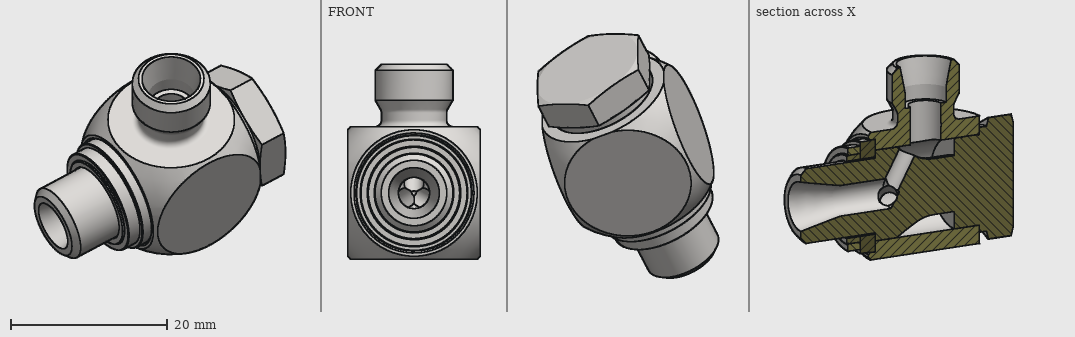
import cadquery as cq
import math


block_width = 17.0
half_width = block_width / 2
head_face_y = 8.0
port_face_y = -half_width
ball_diameter = 23.5
main_bore_diameter = 12.0
recess_depth = 1.0
recess_chamfer = 0.25
recess_floor_y = port_face_y + recess_depth

stub_top_z = 16.5
thread_diameter = 10.0
neck_diameter = 8.4
rim_chamfer = (thread_diameter - neck_diameter) / 2
stub_thread_bottom_z = 11.9
stub_undercut_angle = 30.0
neck_fillet = 0.8
pipe_seat_mouth_diameter = 7.5
pipe_seat_floor_diameter = 6.0
pipe_seat_depth = 5.5
pipe_seat_floor_z = stub_top_z - pipe_seat_depth
outlet_bore_diameter = 4.5
cone_half_angle = 12.0

edge_break = 0.1
ring_bore_diameter = 10.2
support_ring_diameter = 14.9
support_ring_end_y = -9.75
carrier_ring_diameter = 13.8
carrier_ring_end_y = -11.55
carrier_mouth_chamfer = 0.15
seal_ring_diameter = 11.7
seal_ring_end_y = -11.75

hex_width = 14.0
hex_height = 4.0
hex_chamfer_angle = 15.0
collar_height = 1.0
collar_diameter = hex_width
hex_bottom_y = head_face_y + collar_height
hex_top_y = hex_bottom_y + hex_height
bolt_tip_y = -18.5
groove_diameter = 7.5
groove_head_end_y = 4.2
groove_arc_start_y = 1.2
groove_arc_radius = 5.6
groove_cone_angle = 30.0
bolt_bore_diameter = 4.0
bolt_bore_mouth_diameter = 6.5
drill_tip_y = -3.95
drill_tip_half_angle = 59.0
cross_hole_diameter = 2.5
cross_hole_count = 3
cross_hole_edge_margin = 0.05


def sin(degrees):
    return math.sin(math.radians(degrees))


def cos(degrees):
    return math.cos(math.radians(degrees))


def tan(degrees):
    return math.tan(math.radians(degrees))


def turn_y(points):
    """Solid of revolution about Y from an outline of (radius, y) points."""
    return cq.Workplane("XY").polyline(points).close().revolve(360, (0, 0), (0, 1))


def turn_z(points):
    """Solid of revolution about Z from an outline of (radius, z) points."""
    return cq.Workplane("XZ").polyline(points).close().revolve(360, (0, 0), (0, 1))


def outlet_stub():
    """Threaded stub with an undercut neck that blends into the housing top."""
    thread_radius = thread_diameter / 2
    neck_radius = neck_diameter / 2
    undercut_z = stub_thread_bottom_z - (thread_radius - neck_radius) / tan(stub_undercut_angle)
    tangent = neck_fillet * tan(stub_undercut_angle / 2)
    cone_end = (
        neck_radius + tangent * sin(stub_undercut_angle),
        undercut_z + tangent * cos(stub_undercut_angle),
    )
    return (
        cq.Workplane("XZ")
        .moveTo(0, stub_top_z)
        .lineTo(neck_radius, stub_top_z)
        .lineTo(thread_radius, stub_top_z - rim_chamfer)
        .lineTo(thread_radius, stub_thread_bottom_z)
        .lineTo(*cone_end)
        .tangentArcPoint((neck_radius, undercut_z - tangent), relative=False)
        .lineTo(neck_radius, half_width + neck_fillet)
        .tangentArcPoint((neck_radius + neck_fillet, half_width), relative=False)
        .lineTo(neck_radius + neck_fillet, main_bore_diameter / 2)
        .lineTo(0, main_bore_diameter / 2)
        .close()
        .revolve(360, (0, 0), (0, 1))
    )


def outlet_passage():
    """Conical pipe seat and the bore below it, down to the main bore."""
    mouth_radius = pipe_seat_mouth_diameter / 2
    floor_radius = pipe_seat_floor_diameter / 2
    bore_radius = outlet_bore_diameter / 2
    cone_depth = (mouth_radius - floor_radius) / tan(cone_half_angle)
    return turn_z([
        (0, stub_top_z),
        (mouth_radius, stub_top_z),
        (floor_radius, stub_top_z - cone_depth),
        (floor_radius, pipe_seat_floor_z),
        (bore_radius, pipe_seat_floor_z),
        (bore_radius, 0),
        (0, 0),
    ])


def main_passage():
    """Bolt bore with the chamfered recess for the support ring."""
    bore_radius = main_bore_diameter / 2
    recess_radius = support_ring_diameter / 2
    return turn_y([
        (0, head_face_y),
        (bore_radius, head_face_y),
        (bore_radius, recess_floor_y),
        (recess_radius, recess_floor_y),
        (recess_radius, port_face_y + recess_chamfer),
        (recess_radius + recess_chamfer, port_face_y),
        (0, port_face_y),
    ])


def make_housing():
    block = (
        cq.Workplane("XY")
        .box(block_width, head_face_y - port_face_y, block_width)
        .translate((0, (head_face_y + port_face_y) / 2, 0))
    )
    ball = cq.Workplane("XY").sphere(ball_diameter / 2)
    return block.intersect(ball).union(outlet_stub()).cut(outlet_passage()).cut(main_passage())


def make_support_ring():
    outer_radius = support_ring_diameter / 2
    inner_radius = ring_bore_diameter / 2
    return turn_y([
        (inner_radius, recess_floor_y),
        (outer_radius, recess_floor_y),
        (outer_radius, support_ring_end_y + edge_break),
        (outer_radius - edge_break, support_ring_end_y),
        (inner_radius, support_ring_end_y),
    ])


def make_carrier_ring():
    outer_radius = carrier_ring_diameter / 2
    inner_radius = seal_ring_diameter / 2
    return turn_y([
        (inner_radius, support_ring_end_y),
        (outer_radius, support_ring_end_y),
        (outer_radius, carrier_ring_end_y + edge_break),
        (outer_radius - edge_break, carrier_ring_end_y),
        (inner_radius + carrier_mouth_chamfer, carrier_ring_end_y),
        (inner_radius, carrier_ring_end_y + carrier_mouth_chamfer),
    ])


def make_seal_ring():
    outer_radius = seal_ring_diameter / 2
    inner_radius = ring_bore_diameter / 2
    return turn_y([
        (inner_radius, support_ring_end_y),
        (outer_radius, support_ring_end_y),
        (outer_radius, seal_ring_end_y),
        (inner_radius, seal_ring_end_y),
    ])


def hex_head():
    """Hexagon with corners at +Z and -Z, both ends trimmed by a shallow cone."""
    corner_radius = hex_width / 2 / cos(30)
    flat_radius = hex_width / 2
    corner_drop = (corner_radius - flat_radius) * tan(hex_chamfer_angle)
    prism = (
        cq.Workplane("XZ", origin=(0, hex_top_y, 0))
        .polygon(6, 2 * corner_radius)
        .extrude(hex_height)
        .rotate((0, 0, 0), (0, 1, 0), 90)
    )
    envelope = turn_y([
        (0, hex_top_y),
        (flat_radius, hex_top_y),
        (corner_radius, hex_top_y - corner_drop),
        (corner_radius, hex_bottom_y + corner_drop),
        (flat_radius, hex_bottom_y),
        (0, hex_bottom_y),
    ])
    return prism.intersect(envelope)


groove_arc_end_radius = groove_diameter / 2 + groove_arc_radius * (1 - cos(groove_cone_angle))
groove_arc_end_y = groove_arc_start_y - groove_arc_radius * sin(groove_cone_angle)


def bolt_shank():
    """Collar, two guide lands with the flow groove between them, and the thread."""
    collar_radius = collar_diameter / 2
    land_radius = main_bore_diameter / 2
    groove_radius = groove_diameter / 2
    thread_radius = thread_diameter / 2
    cone_end_y = groove_arc_end_y - (land_radius - groove_arc_end_radius) / tan(groove_cone_angle)
    return (
        cq.Workplane("XY")
        .moveTo(0, hex_bottom_y)
        .lineTo(collar_radius, hex_bottom_y)
        .lineTo(collar_radius, head_face_y + edge_break)
        .lineTo(collar_radius - edge_break, head_face_y)
        .lineTo(land_radius, head_face_y)
        .lineTo(land_radius, groove_head_end_y)
        .lineTo(groove_radius, groove_head_end_y)
        .lineTo(groove_radius, groove_arc_start_y)
        .tangentArcPoint((groove_arc_end_radius, groove_arc_end_y), relative=False)
        .lineTo(land_radius, cone_end_y)
        .lineTo(land_radius, recess_floor_y)
        .lineTo(thread_radius, recess_floor_y)
        .lineTo(thread_radius, bolt_tip_y + rim_chamfer)
        .lineTo(thread_radius - rim_chamfer, bolt_tip_y)
        .lineTo(0, bolt_tip_y)
        .close()
        .revolve(360, (0, 0), (0, 1))
    )


def bolt_bore():
    """Blind bore with a conical mouth and a drill-point end."""
    mouth_radius = bolt_bore_mouth_diameter / 2
    bore_radius = bolt_bore_diameter / 2
    cone_depth = (mouth_radius - bore_radius) / tan(cone_half_angle)
    return turn_y([
        (0, bolt_tip_y),
        (mouth_radius, bolt_tip_y),
        (bore_radius, bolt_tip_y + cone_depth),
        (bore_radius, drill_tip_y - bore_radius / tan(drill_tip_half_angle)),
        (0, drill_tip_y),
    ])


def cross_holes():
    """Slanted holes, square to the groove cone, that lead into the blind bore."""
    center_distance = cross_hole_diameter / 2 + cross_hole_edge_margin
    entry_radius = groove_arc_end_radius + center_distance * sin(groove_cone_angle)
    entry_y = groove_arc_end_y - center_distance * cos(groove_cone_angle)
    length_to_axis = entry_radius / cos(groove_cone_angle)
    axis_y = entry_y - entry_radius * tan(groove_cone_angle)
    hole = cq.Workplane(cq.Solid.makeCylinder(
        cross_hole_diameter / 2,
        length_to_axis + cross_hole_diameter,
        cq.Vector(0, axis_y, 0),
        cq.Vector(0, sin(groove_cone_angle), cos(groove_cone_angle)),
    ))
    spacing = 360 / cross_hole_count
    return [hole.rotate((0, 0, 0), (0, 1, 0), i * spacing) for i in range(cross_hole_count)]


def make_bolt():
    bolt = bolt_shank().union(hex_head()).cut(bolt_bore())
    for hole in cross_holes():
        bolt = bolt.cut(hole)
    return bolt


housing = make_housing()
bolt = make_bolt()
support_ring = make_support_ring()
carrier_ring = make_carrier_ring()
seal_ring = make_seal_ring()

result = cq.Compound.makeCompound([
    housing.solids().val(),
    bolt.solids().val(),
    support_ring.val(),
    carrier_ring.val(),
    seal_ring.val(),
])